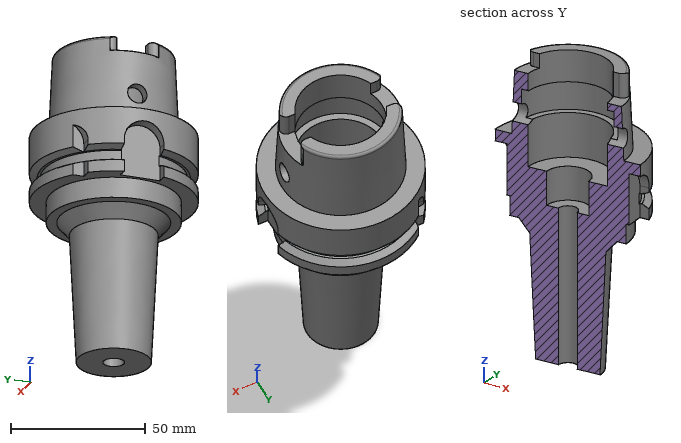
import cadquery as cq

total_height = 122.0
nose_top = 51.0
collar_bottom = 56.1
flange_bottom = 64.2
groove_bottom = 70.0
groove_top = 74.0
flange_top = 90.0
flange_chamfer_height = 1.3

nose_tip_diameter = 28.0
nose_root_diameter = 33.2
neck_diameter = 42.5
collar_diameter = 50.4
flange_diameter = 63.0
groove_diameter = 55.0
flange_chamfer_width = 2.9
shank_root_diameter = 48.7
shank_top_diameter = 45.8
shank_rim_fillet = 1.1

mouth_diameter = 34.2
mouth_floor = 78.1
undercut_diameter = 39.8
undercut_top = 109.0
undercut_bottom = 96.4
pocket_diameter = 18.0
pocket_floor = 64.2
through_diameter = 8.0

cross_hole_diameter = 7.7
cross_hole_height = 99.1

rim_slot_width = 12.6
rim_lug_fillet = 2.5
left_rim_slot_floor = 116.1
right_rim_slot_floor = 112.0

keyway_width = 15.9
keyway_arch_height = 77.2
keyway_floor_x = 26.5
corner_notch_floor_x = 20.0
corner_notch_center_y = corner_notch_floor_x + keyway_width / 2


def make_body():
    """Revolve the outer profile and round the rim."""
    flange_radius = flange_diameter / 2
    chamfer_radius = flange_radius - flange_chamfer_width
    groove_radius = groove_diameter / 2
    profile = [
        (0, 0),
        (nose_tip_diameter / 2, 0),
        (nose_root_diameter / 2, nose_top),
        (neck_diameter / 2, collar_bottom),
        (collar_diameter / 2, collar_bottom),
        (collar_diameter / 2, flange_bottom),
        (flange_radius, flange_bottom),
        (flange_radius, groove_bottom - flange_chamfer_height),
        (chamfer_radius, groove_bottom),
        (groove_radius, groove_bottom),
        (groove_radius, groove_top),
        (chamfer_radius, groove_top),
        (flange_radius, groove_top + flange_chamfer_height),
        (flange_radius, flange_top),
        (shank_root_diameter / 2, flange_top),
        (shank_top_diameter / 2, total_height),
        (0, total_height),
    ]
    body = cq.Workplane("XZ").polyline(profile).close().revolve(360, (0, 0), (0, 1))
    return body.faces(">Z").edges().fillet(shank_rim_fillet)


def make_bore():
    """Stepped bore along the whole axis, with a clamping undercut behind the mouth."""
    bore = cq.Workplane("XY").circle(through_diameter / 2).extrude(total_height)
    for diameter, floor in ((pocket_diameter, pocket_floor), (mouth_diameter, mouth_floor)):
        step = cq.Workplane("XY").workplane(offset=floor).circle(diameter / 2)
        bore = bore.union(step.extrude(total_height - floor))
    undercut = cq.Workplane("XY").workplane(offset=undercut_bottom).circle(undercut_diameter / 2)
    return bore.union(undercut.extrude(undercut_top - undercut_bottom))


def make_rim_slot(side, floor):
    """Slot on one X side (-1 or +1), flaring outward around the rounded lug ends."""
    half_width = rim_slot_width / 2
    rim_radius = shank_top_diameter / 2
    fillet_y = half_width + rim_lug_fillet
    fillet_x = ((rim_radius - rim_lug_fillet) ** 2 - fillet_y**2) ** 0.5
    reach = rim_radius / (rim_radius - rim_lug_fillet)
    touch_x = fillet_x * reach
    touch_y = fillet_y * reach
    middle_x = fillet_x + rim_lug_fillet * 0.5**0.5
    middle_y = fillet_y - rim_lug_fillet * 0.5**0.5
    outside_x = flange_diameter / 2
    return (
        cq.Workplane("XY")
        .workplane(offset=floor)
        .moveTo(0, -half_width)
        .lineTo(side * fillet_x, -half_width)
        .threePointArc((side * middle_x, -middle_y), (side * touch_x, -touch_y))
        .lineTo(side * outside_x, -touch_y)
        .lineTo(side * outside_x, touch_y)
        .lineTo(side * touch_x, touch_y)
        .threePointArc((side * middle_x, middle_y), (side * fillet_x, half_width))
        .lineTo(0, half_width)
        .close()
        .extrude(total_height - floor)
    )


def make_keyway(side, floor_x, center_y):
    """Round-topped keyway, open at the flange underside, cut from one X side."""
    half_width = keyway_width / 2
    return (
        cq.Workplane("YZ")
        .workplane(offset=side * floor_x)
        .moveTo(center_y - half_width, flange_bottom)
        .lineTo(center_y - half_width, keyway_arch_height)
        .threePointArc(
            (center_y, keyway_arch_height + half_width),
            (center_y + half_width, keyway_arch_height),
        )
        .lineTo(center_y + half_width, flange_bottom)
        .close()
        .extrude(side * flange_diameter / 2)
    )


cross_hole = (
    cq.Workplane("YZ")
    .center(0, cross_hole_height)
    .circle(cross_hole_diameter / 2)
    .extrude(flange_diameter / 2, both=True)
)

result = (
    make_body()
    .cut(make_bore())
    .cut(cross_hole)
    .cut(make_rim_slot(-1, left_rim_slot_floor))
    .cut(make_rim_slot(1, right_rim_slot_floor))
    .cut(make_keyway(-1, keyway_floor_x, 0))
    .cut(make_keyway(1, keyway_floor_x, 0))
    .cut(make_keyway(-1, corner_notch_floor_x, corner_notch_center_y))
)